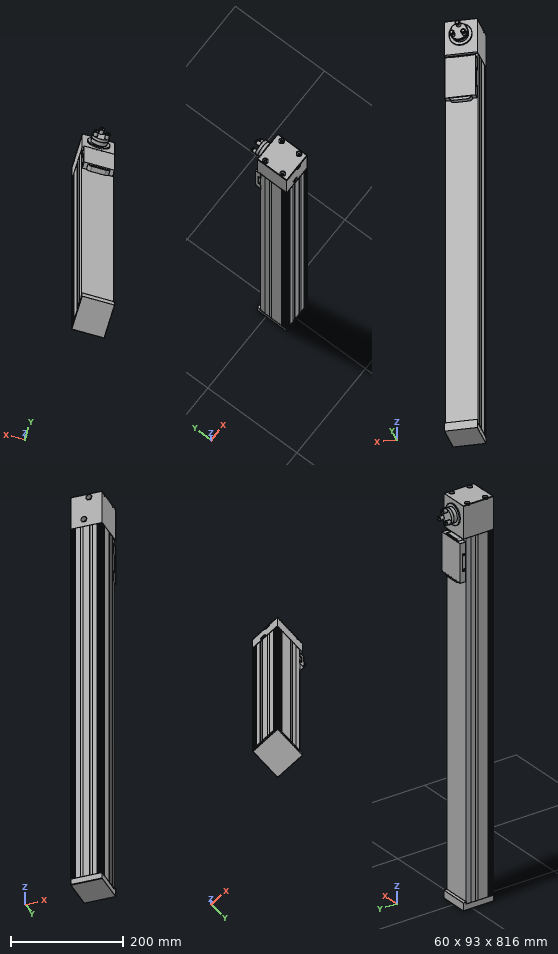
import cadquery as cq
import math

WIDTH = 60.0
HEIGHT = 816.0
OVERALL_DEPTH = 93.0
HEAD_DEPTH = 66.0
HEAD_HEIGHT = 67.0
CAP_HEIGHT = 12.0
PROFILE_DEPTH = 59.5
EDGE_CHAMFER = 1.0
HEAD_BOTTOM = HEIGHT - HEAD_HEIGHT

GROOVE_DEPTH = 0.25
FRONT_GROOVE_OFFSET = 9.0
FRONT_GROOVE_WIDTH = 5.0
SIDE_GROOVE_START = 34.0
SIDE_GROOVE_END = 39.0
SIDE_STEP_Y = 49.0
SIDE_STEP = 0.4
SERRATION_COUNT = 3
SERRATION_DEPTH = 0.25
FRONT_SERRATION_WIDTH = 2.0
SIDE_SERRATION_WIDTH = 2.0

LUG_HEIGHT = 4.0

TOP_SCREW_X = 24.0
TOP_SCREW_FRONT_Y = 14.0
TOP_SCREW_REAR_Y = 53.0
TOP_SCREW_DIAMETER = 10.0
FRONT_SCREW_X = 5.0
FRONT_SCREW_LOW_Z = 765.0
FRONT_SCREW_HIGH_Z = 809.0
FRONT_SCREW_DIAMETER = 11.0
TOP_PILOT_DIAMETER = 4.5
FRONT_PILOT_DIAMETER = 6.3
TOP_COUNTERBORE_DEPTH = 3.0
FRONT_COUNTERBORE_DEPTH = 12.0
PILOT_LENGTH = 5.0

CONNECTOR_Z = 787.0
FLANGE_DIAMETER = 42.0
FLANGE_THICKNESS = 2.5
BARREL_DIAMETER = 30.0
BARREL_LENGTH = 10.0
COLLAR_DIAMETER = 32.0
COLLAR_LENGTH = 6.0
PLUG_COUNT = 3
PLUG_CIRCLE_RADIUS = 12.0
PLUG_NECK_DIAMETER = 8.1
PLUG_HEAD_DIAMETER = 9.0
PLUG_HEAD_LENGTH = 3.0
PLUG_HEAD_CHAMFER = 2.0

BRACKET_WIDTH = 56.0
BRACKET_BOTTOM = 661.0
BRACKET_TOP = 741.0
BRACKET_REAR = 72.0
TONGUE_REAR = 69.0
TONGUE_WIDTH = 42.5
TONGUE_BOTTOM = 656.0
TONGUE_TOP = 743.0
TONGUE_CORNER_RADIUS = 8.0
NOTCH_DEPTH = 0.4
NOTCH_REAR = 66.0
NOTCH_BOTTOM = 683.0
NOTCH_TOP = 718.0
NOTCH_LEVELS = 3
NOTCH_STEP = 2.0


def box(x_min, x_max, y_min, y_max, z_min, z_max):
    """Block between two corners."""
    size = (x_max - x_min, y_max - y_min, z_max - z_min)
    return cq.Workplane().box(*size, centered=False).translate((x_min, y_min, z_min))


def rod_along_y(x, z, y_start, diameter, length):
    """Cylinder that runs rearward from y_start."""
    axis = cq.Vector(0, 1, 0)
    return cq.Workplane(cq.Solid.makeCylinder(diameter / 2, length, cq.Vector(x, y_start, z), axis))


def make_profile():
    half = WIDTH / 2
    bottom, top = CAP_HEIGHT, HEAD_BOTTOM

    def front_groove(side, inset, width, depth):
        """Cutter whose outer wall lies the inset away from the profile's side face."""
        x_near, x_far = sorted((side * (half - inset), side * (half - inset - width)))
        return box(x_near, x_far, 0, depth, bottom, top)

    def side_groove(side, y_start, y_end, depth):
        x_near, x_far = sorted((side * half, side * (half - depth)))
        return box(x_near, x_far, y_start, y_end, bottom, top)

    body = box(-half, half, 0, PROFILE_DEPTH, bottom, top)
    groove_inset = half - FRONT_GROOVE_OFFSET - FRONT_GROOVE_WIDTH / 2
    for side in (-1, 1):
        body = body.cut(front_groove(side, groove_inset, FRONT_GROOVE_WIDTH, GROOVE_DEPTH))
        body = body.cut(side_groove(side, SIDE_GROOVE_START, SIDE_GROOVE_END, GROOVE_DEPTH))
        body = body.cut(side_groove(side, SIDE_STEP_Y, PROFILE_DEPTH, SIDE_STEP))
        for index in range(SERRATION_COUNT):
            front_inset = (2 * index + 1) * FRONT_SERRATION_WIDTH
            body = body.cut(front_groove(side, front_inset, FRONT_SERRATION_WIDTH, SERRATION_DEPTH))
            y_start = (2 * index + 1) * SIDE_SERRATION_WIDTH
            body = body.cut(side_groove(side, y_start, y_start + SIDE_SERRATION_WIDTH, SERRATION_DEPTH))
    return body


def make_head():
    half = WIDTH / 2
    block = box(-half, half, 0, HEAD_DEPTH, HEAD_BOTTOM, HEIGHT)
    body = block.faces(">Z").edges("not >Y").chamfer(EDGE_CHAMFER)
    top_points = [(x, y) for x in (-TOP_SCREW_X, TOP_SCREW_X) for y in (TOP_SCREW_FRONT_Y, TOP_SCREW_REAR_Y)]
    top_plane = cq.Workplane(origin=(0, 0, HEIGHT)).pushPoints(top_points)
    body = body.cut(top_plane.circle(TOP_SCREW_DIAMETER / 2).extrude(-TOP_COUNTERBORE_DEPTH))
    body = body.cut(top_plane.circle(TOP_PILOT_DIAMETER / 2).extrude(-TOP_COUNTERBORE_DEPTH - PILOT_LENGTH))
    for x, z in ((-FRONT_SCREW_X, FRONT_SCREW_LOW_Z), (FRONT_SCREW_X, FRONT_SCREW_HIGH_Z)):
        body = body.cut(rod_along_y(x, z, 0, FRONT_SCREW_DIAMETER, FRONT_COUNTERBORE_DEPTH))
        body = body.cut(rod_along_y(x, z, FRONT_COUNTERBORE_DEPTH, FRONT_PILOT_DIAMETER, PILOT_LENGTH))
    return body


def make_cap():
    half = WIDTH / 2
    plate = box(-half, half, 0, HEAD_DEPTH, 0, CAP_HEIGHT).edges("<Y and <Z").chamfer(EDGE_CHAMFER)
    lug = box(-half, half, PROFILE_DEPTH, HEAD_DEPTH, CAP_HEIGHT, CAP_HEIGHT + LUG_HEIGHT)
    return plate.union(lug)


def make_connector():
    body = rod_along_y(0, CONNECTOR_Z, HEAD_DEPTH, FLANGE_DIAMETER, FLANGE_THICKNESS)
    body = body.union(rod_along_y(0, CONNECTOR_Z, HEAD_DEPTH, BARREL_DIAMETER, BARREL_LENGTH))
    collar_y = HEAD_DEPTH + BARREL_LENGTH
    body = body.union(rod_along_y(0, CONNECTOR_Z, collar_y, COLLAR_DIAMETER, COLLAR_LENGTH))
    neck_y = collar_y + COLLAR_LENGTH
    head_y = OVERALL_DEPTH - PLUG_HEAD_LENGTH
    for index in range(PLUG_COUNT):
        angle = math.pi / 2 + 2 * math.pi * index / PLUG_COUNT
        x = PLUG_CIRCLE_RADIUS * math.cos(angle)
        z = CONNECTOR_Z + PLUG_CIRCLE_RADIUS * math.sin(angle)
        plug_head = rod_along_y(x, z, head_y, PLUG_HEAD_DIAMETER, PLUG_HEAD_LENGTH)
        plug_head = plug_head.faces(">Y").chamfer(PLUG_HEAD_CHAMFER)
        neck = rod_along_y(x, z, neck_y, PLUG_NECK_DIAMETER, head_y - neck_y)
        body = body.union(neck).union(plug_head)
    return body


def make_bracket():
    half = BRACKET_WIDTH / 2
    body = box(-half, half, PROFILE_DEPTH, BRACKET_REAR, BRACKET_BOTTOM, BRACKET_TOP)
    tongue = box(-TONGUE_WIDTH / 2, TONGUE_WIDTH / 2, PROFILE_DEPTH, TONGUE_REAR, TONGUE_BOTTOM, TONGUE_TOP)
    body = body.union(tongue.edges("|Y").fillet(TONGUE_CORNER_RADIUS))
    for level in range(NOTCH_LEVELS):
        reach = half - level * NOTCH_DEPTH
        z_start = NOTCH_BOTTOM + level * NOTCH_STEP
        z_end = NOTCH_TOP - level * NOTCH_STEP
        for x in (-reach, reach - NOTCH_DEPTH):
            body = body.cut(box(x, x + NOTCH_DEPTH, PROFILE_DEPTH, NOTCH_REAR, z_start, z_end))
    return body


profile = make_profile()
head = make_head()
cap = make_cap()
connector = make_connector()
bracket = make_bracket()
result = cq.Compound.makeCompound([profile.val(), head.val(), cap.val(), connector.val(), bracket.val()])